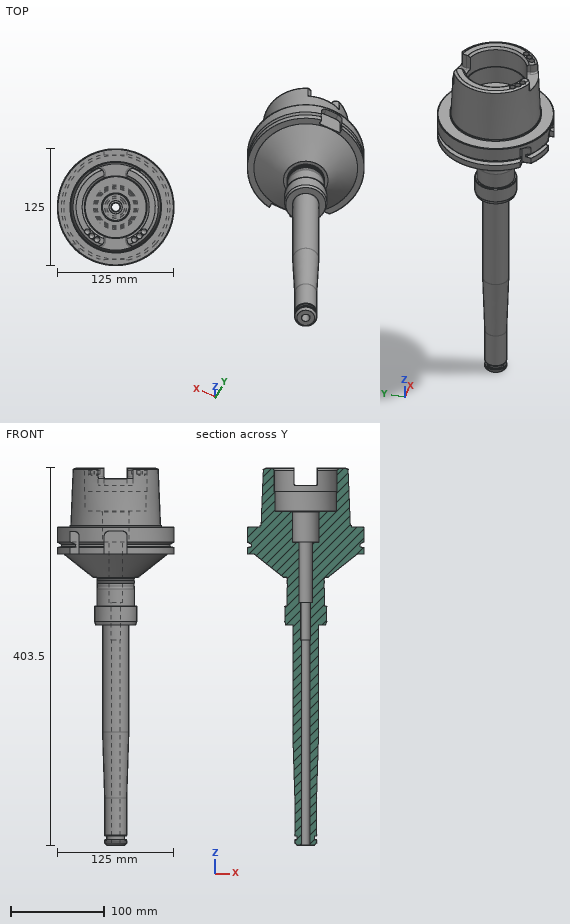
import cadquery as cq
import math


total_length = 403.5

flange_d = 125.0
flange_thickness = 29.0
flange_edge = 1.0
flange_groove_depth = 4.5
flange_groove_top = -16.0
flange_groove_bottom = -22.0
flange_groove_upper_slant = 2.5
flange_groove_lower_slant = 1.2

shank_height = 63.0
shank_base_d = 96.0
shank_top_d = 91.0
shank_edge_width = 3.2
shank_edge_height = 1.2
seat_ring_d = 98.0
seat_ring_height = 1.5

cone_top_d = 111.0
cone_bottom_d = 47.5
cone_bottom = -54.0
neck_d = 40.5
collar_d = 45.0
collar_top = -84.5
collar_bottom = -105.0
collar_top_edge = 1.0
collar_bottom_bevel_height = 3.5
collar_bottom_bevel = 1.2
shaft_d = 28.2
shaft_taper_top = -219.0
shaft_taper_bottom = -289.7
tip_d = 24.0
tip_bottom = shank_height - total_length
tip_bevel = 2.5

neck_groove_depth = 0.5
neck_groove_slant = 0.5
upper_neck_groove_top = -55.3
upper_neck_groove_bottom = -57.5
lower_neck_groove_top = -60.0
lower_neck_groove_bottom = -66.0
lower_neck_groove_runout = 3.2
tip_groove_d = 19.5
tip_groove_top = -331.0
tip_groove_bottom = -334.5
tip_groove_lip_depth = 0.5
tip_groove_lip_height = 1.2

bore_d = 67.0
bore_mouth_d = 72.0
bore_step = 38.0
lower_bore_d = 65.5
bore_floor = 17.0
socket_d = 28.2
socket_mouth_d = 30.5
socket_floor = -16.0
counterbore_d = 14.0
counterbore_floor = -80.5
pilot_d = 10.0
pilot_floor = -121.0
through_d = 9.0

slot_width = 24.5
slot_corner_r = 6.5
slot_floor_r = 1.5
front_slot_depth = 11.3
rear_slot_depth = 18.5

balance_hole_d = 6.0
balance_hole_depth = 6.0
balance_circle_r = 40.0
front_angle = -90.0
balance_first_angle = 30.0
balance_step = 9.6
balance_count = 3
drill_point_half_angle = 59.0

window_width = 24.5
window_top = -4.5
window_corner_r = 5.2
window_face = 56.0
notch_face = 39.0
notch_top = -5.0
notch_corner_r = 5.0


def revolve(points):
    """Solid of revolution about Z from (radius, height) points."""
    return cq.Workplane("XZ").polyline(points).close().revolve(360, (0, 0, 0), (0, 1, 0))


def ring_groove(outer_d, inner_d, top, bottom, upper_slant, lower_slant):
    """Ring cutter whose two walls open outward by their slant over its depth."""
    outer, inner = outer_d / 2, inner_d / 2
    return revolve([
        (outer, top),
        (inner, top - upper_slant),
        (inner, bottom + lower_slant),
        (outer, bottom),
    ])


def turned_body():
    """Shank, flange, cone, neck, collar and shaft without grooves or holes."""
    flange_r = flange_d / 2
    collar_r = collar_d / 2
    return revolve([
        (0, shank_height),
        (shank_top_d / 2 - shank_edge_width, shank_height),
        (shank_top_d / 2, shank_height - shank_edge_height),
        (shank_base_d / 2, seat_ring_height),
        (seat_ring_d / 2, seat_ring_height),
        (seat_ring_d / 2, 0),
        (flange_r - flange_edge, 0),
        (flange_r, -flange_edge),
        (flange_r, -flange_thickness),
        (cone_top_d / 2, -flange_thickness),
        (cone_bottom_d / 2, cone_bottom),
        (neck_d / 2, cone_bottom),
        (neck_d / 2, collar_top),
        (collar_r - collar_top_edge, collar_top),
        (collar_r, collar_top - collar_top_edge),
        (collar_r, collar_bottom + collar_bottom_bevel_height),
        (collar_r - collar_bottom_bevel, collar_bottom),
        (shaft_d / 2, collar_bottom),
        (shaft_d / 2, shaft_taper_top),
        (tip_d / 2, shaft_taper_bottom),
        (tip_d / 2, tip_bottom + tip_bevel),
        (tip_d / 2 - tip_bevel, tip_bottom),
        (0, tip_bottom),
    ])


def cut_ring_grooves(body):
    """Cut the flange, neck and tip grooves."""
    flange_groove_d = flange_d - 2 * flange_groove_depth
    neck_groove_d = neck_d - 2 * neck_groove_depth
    grooves = [
        ring_groove(flange_d, flange_groove_d, flange_groove_top, flange_groove_bottom,
                    flange_groove_upper_slant, flange_groove_lower_slant),
        ring_groove(neck_d, neck_groove_d, upper_neck_groove_top, upper_neck_groove_bottom,
                    neck_groove_slant, neck_groove_slant),
        ring_groove(neck_d, neck_groove_d, lower_neck_groove_top, lower_neck_groove_bottom,
                    neck_groove_slant, lower_neck_groove_runout),
        ring_groove(tip_d, tip_groove_d, tip_groove_top, tip_groove_bottom, 0, 0),
        ring_groove(tip_d, tip_d - 2 * tip_groove_lip_depth,
                    tip_groove_top + tip_groove_lip_height,
                    tip_groove_bottom - tip_groove_lip_height,
                    tip_groove_lip_height, tip_groove_lip_height),
    ]
    for groove in grooves:
        body = body.cut(groove)
    return body


def axial_bores():
    """Stepped bore cutter from the shank mouth through to the tip."""
    mouth_chamfer = (bore_mouth_d - bore_d) / 2
    socket_chamfer = (socket_mouth_d - socket_d) / 2
    return revolve([
        (0, shank_height),
        (bore_mouth_d / 2, shank_height),
        (bore_d / 2, shank_height - mouth_chamfer),
        (bore_d / 2, bore_step),
        (lower_bore_d / 2, bore_step),
        (lower_bore_d / 2, bore_floor),
        (socket_mouth_d / 2, bore_floor),
        (socket_d / 2, bore_floor - socket_chamfer),
        (socket_d / 2, socket_floor),
        (counterbore_d / 2, socket_floor),
        (counterbore_d / 2, counterbore_floor),
        (pilot_d / 2, counterbore_floor),
        (pilot_d / 2, pilot_floor),
        (through_d / 2, pilot_floor),
        (through_d / 2, tip_bottom),
        (0, tip_bottom),
    ])


def drive_slot(side, depth):
    """Rim slot on the side * Y half, flaring round at its outer corners."""
    half = slot_width / 2
    flare_half = half + slot_corner_r
    flare_end = side * math.sqrt((shank_top_d / 2) ** 2 - flare_half ** 2)
    flare_start = flare_end - side * slot_corner_r
    outer_end = side * flange_d / 2
    bend = slot_corner_r * math.sqrt(0.5)
    bend_x = flare_half - bend
    bend_y = flare_start + side * bend
    return (
        cq.Workplane("XY", origin=(0, 0, shank_height - depth))
        .moveTo(-half, 0)
        .lineTo(-half, flare_start)
        .threePointArc((-bend_x, bend_y), (-flare_half, flare_end))
        .lineTo(-flare_half, outer_end)
        .lineTo(flare_half, outer_end)
        .lineTo(flare_half, flare_end)
        .threePointArc((bend_x, bend_y), (half, flare_start))
        .lineTo(half, 0)
        .close()
        .extrude(depth)
        .faces("<Z").edges("not |X").fillet(slot_floor_r)
    )


def balance_hole(angle):
    """Drilled hole with a pointed end, at an angle around Z from +X."""
    radius = balance_hole_d / 2
    end = shank_height - balance_hole_depth
    point = end - radius / math.tan(math.radians(drill_point_half_angle))
    hole = revolve([(0, shank_height), (radius, shank_height), (radius, end), (0, point)])
    return hole.translate((balance_circle_r, 0, 0)).rotate((0, 0, 0), (0, 0, 1), angle)


def flange_window(side):
    """Flat-bottomed recess in the flange rim, open downward."""
    depth = flange_d / 2 - window_face
    height = flange_thickness + window_top
    return (
        cq.Workplane("XY")
        .box(window_width, depth, height, centered=(True, True, False))
        .edges("|Y and >Z").fillet(window_corner_r)
        .translate((0, side * (window_face + depth / 2), -flange_thickness))
    )


def corner_notch():
    """Square-cornered recess in the -X, -Y part of the flange rim."""
    length = flange_d / 2 - notch_face
    height = flange_thickness + notch_top
    return (
        cq.Workplane("XY")
        .box(length, length, height, centered=False)
        .edges(">X and >Z").fillet(notch_corner_r)
        .translate((-flange_d / 2, -flange_d / 2, -flange_thickness))
    )


result = cut_ring_grooves(turned_body()).cut(axial_bores())
result = result.cut(drive_slot(-1, front_slot_depth)).cut(drive_slot(1, rear_slot_depth))

for side in (-1, 1):
    result = result.cut(flange_window(side))
    for index in range(balance_count):
        offset = balance_first_angle + index * balance_step
        result = result.cut(balance_hole(front_angle + side * offset))

result = result.cut(corner_notch())